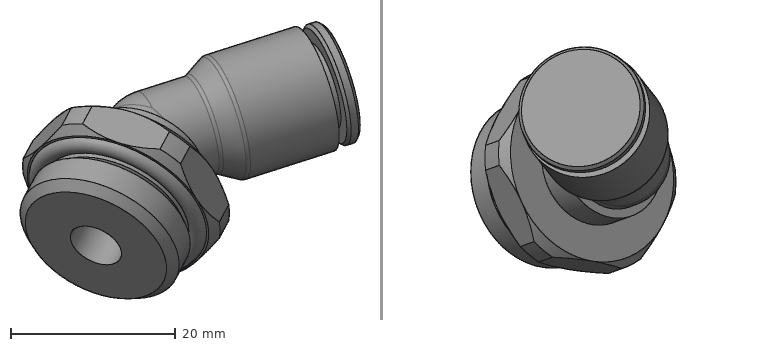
import cadquery as cq
import math

thread_radius = 10.5
thread_chamfer = 1.15
thread_top = 4.65
bore_radius = 3.4

hex_bottom = 6.95
hex_top = 12.05
hex_across_flats = 24.0
hex_corner_radius = 13.05
hex_chamfer = hex_corner_radius - hex_across_flats / 2

seal_bottom = 5.85
seal_outer_radius = 11.7
seal_section_radius = hex_bottom - seal_bottom
seal_centre_radius = seal_outer_radius - seal_section_radius
neck_radius = seal_centre_radius - seal_section_radius

collar_radius = 7.4
collar_top = 16.2
elbow_height = 17.83
elbow_radius = 6.28
arm_angle = 45

cone_start = 6.48
socket_start = 9.38
socket_end = 21.33
socket_radius = 7.95
cone_fillet = 1.0
release_neck_radius = 5.47
flange_start = 22.57
flange_end = 24.35
flange_radius = 7.75
flange_chamfer = 0.4


def revolve_profile(outline):
    """Turn a closed XY outline about the Y axis."""
    return outline.close().revolve(360, (0, 0, 0), (0, 1, 0))


def make_threaded_end():
    end_radius = thread_radius - thread_chamfer
    outline = (
        cq.Workplane("XY")
        .lineTo(end_radius, 0)
        .lineTo(thread_radius, thread_chamfer)
        .lineTo(thread_radius, thread_top)
        .lineTo(neck_radius, seal_bottom)
        .lineTo(neck_radius, hex_bottom)
        .threePointArc((seal_centre_radius, seal_bottom), (seal_outer_radius, hex_bottom))
        .lineTo(0, hex_bottom)
    )
    return revolve_profile(outline)


def make_hexagon():
    height = hex_top - hex_bottom
    across_corners = hex_across_flats / math.cos(math.radians(30))
    prism = (
        cq.Workplane("XZ", origin=(0, hex_bottom, 0))
        .polygon(6, across_corners)
        .extrude(-height)
    )
    turned_envelope = (
        cq.Workplane("XZ", origin=(0, hex_bottom, 0))
        .circle(hex_corner_radius)
        .extrude(-height)
        .edges("%CIRCLE")
        .chamfer(hex_chamfer)
    )
    return prism.intersect(turned_envelope)


def make_collar_and_elbow():
    outline = (
        cq.Workplane("XY")
        .moveTo(0, hex_bottom)
        .lineTo(collar_radius, hex_bottom)
        .lineTo(collar_radius, collar_top)
        .lineTo(elbow_radius, collar_top)
        .lineTo(elbow_radius, elbow_height)
        .radiusArc((0, elbow_height + elbow_radius), -elbow_radius)
    )
    return revolve_profile(outline)


def make_arm():
    outline = (
        cq.Workplane("XY")
        .lineTo(elbow_radius, 0)
        .lineTo(elbow_radius, cone_start)
        .lineTo(socket_radius, socket_start)
        .lineTo(socket_radius, socket_end)
        .lineTo(release_neck_radius, socket_end)
        .lineTo(release_neck_radius, flange_start)
        .lineTo(flange_radius - flange_chamfer, flange_start)
        .lineTo(flange_radius, flange_start + flange_chamfer)
        .lineTo(flange_radius, flange_end - flange_chamfer)
        .lineTo(flange_radius - flange_chamfer, flange_end)
        .lineTo(0, flange_end)
    )
    arm = revolve_profile(outline)
    cone_ends = arm.faces("%CONE").faces("<Y").edges("%CIRCLE")
    arm = cone_ends.fillet(cone_fillet)
    return arm.rotate((0, 0, 0), (0, 0, 1), -arm_angle).translate((0, elbow_height, 0))


bore = cq.Workplane("XZ").circle(bore_radius).extrude(-elbow_height)

body = make_threaded_end().union(make_hexagon()).union(make_collar_and_elbow())
result = body.union(make_arm()).cut(bore)